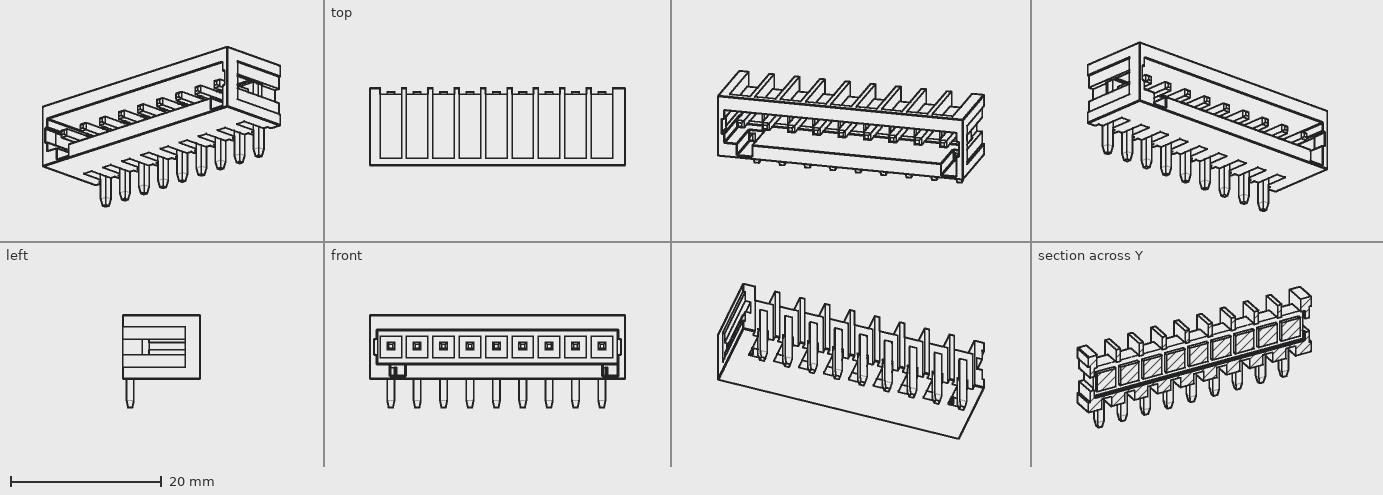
import cadquery as cq


pin_count = 9
pitch = 3.5
pin_size = 1.0
pin_height = 4.35
pin_tail_y = 9.3
pin_tip_y = 1.0
tail_length = 3.8
tail_taper = 1.0
tail_tip_size = 0.6
mating_taper = 0.3
mating_tip_size = 0.5

length = 33.9
depth = 10.3
height = 8.5
left_overhang = 2.8
edge_chamfer = 0.1
mid_height = height / 2
left_end = -left_overhang
right_end = left_end + length
pin_positions = [index * pitch for index in range(pin_count)]

cavity_depth = 7.7
cavity_height = 4.5
cavity_end_wall = 0.95
cavity_left = left_end + cavity_end_wall
cavity_right = right_end - cavity_end_wall
cavity_floor = mid_height - cavity_height / 2

seat_size = 2.85
seat_face_y = 6.8

notch_width = 2.05
notch_floor = 0.4
notch_depth = 5.8
notch_left_start = -0.1

slot_start_y = 2.0
wide_slot_depth = 0.3
wide_slot_height = 5.4
narrow_slot_depth = 1.05
narrow_slot_height = 2.0
relief_end_wall = 0.6

pocket_width = 2.85
pocket_front_y = 1.0
pocket_floor = 6.65

rear_wall_y = 9.5
tail_slot_width = 1.45
tail_slot_height = 1.5


def block(x_range, y_range, z_range):
    """Box spanning the given (low, high) pairs."""
    sizes = [high - low for low, high in (x_range, y_range, z_range)]
    corner = (x_range[0], y_range[0], z_range[0])
    return cq.Workplane("XY").box(*sizes, centered=False).translate(corner)


def centred(middle, size):
    """(low, high) pair of the given size around a middle."""
    return (middle - size / 2, middle + size / 2)


def mating_cavity():
    """Volume of the cavity with its coding notches and end reliefs, all inner edges chamfered."""
    cavity_z = (cavity_floor, cavity_floor + cavity_height)
    cavity_y = (0, cavity_depth)
    cavity = block((cavity_left, cavity_right), cavity_y, cavity_z)
    notch_starts = (notch_left_start, cavity_right - notch_width)
    for start in notch_starts:
        notch = block((start, start + notch_width), (0, notch_depth), (notch_floor, mid_height))
        cavity = cavity.union(notch)
    relief_x = (left_end + relief_end_wall, right_end - relief_end_wall)
    cavity = cavity.union(block(relief_x, cavity_y, centred(mid_height, narrow_slot_height)))
    return cavity.edges("not(<Y)").chamfer(edge_chamfer)


def end_slots():
    """Stepped locking slots on both end faces, open at the rear."""
    slot_y = (slot_start_y, depth)
    slots = cq.Workplane("XY")
    for slot_depth, slot_height in (
        (wide_slot_depth, wide_slot_height),
        (narrow_slot_depth, narrow_slot_height),
    ):
        slot_z = centred(mid_height, slot_height)
        slots = slots.add(block((left_end, left_end + slot_depth), slot_y, slot_z))
        slots = slots.add(block((right_end - slot_depth, right_end), slot_y, slot_z))
    return slots.combine()


def pin_recesses(x):
    """Top pocket, rear recess and underside slot of the pin at x."""
    pocket = block(centred(x, pocket_width), (pocket_front_y, depth), (pocket_floor, height))
    rear = block(centred(x, pocket_width), (rear_wall_y, depth), (0, height))
    tail_slot = block(centred(x, tail_slot_width), (notch_depth, depth), (0, tail_slot_height))
    return pocket.union(rear).union(tail_slot)


def tapered_tip(plane, tip_size, taper):
    """Truncated pyramid from the pin section down to a smaller square."""
    return plane.rect(pin_size, pin_size).workplane(offset=taper).rect(tip_size, tip_size).loft()


def pin(x):
    """Right-angle pin: mating leg along Y and solder tail along Z, both with tapered ends."""
    mating_base_y = pin_tip_y + mating_taper
    tail_base_z = tail_taper - tail_length
    width = centred(x, pin_size)
    leg = block(width, (mating_base_y, pin_tail_y + pin_size / 2), centred(pin_height, pin_size))
    tail = block(width, centred(pin_tail_y, pin_size), (tail_base_z, pin_height))
    mating_plane = cq.Workplane("XZ", origin=(x, mating_base_y, pin_height))
    tail_plane = cq.Workplane("XY", origin=(x, pin_tail_y, tail_base_z)).transformed(rotate=(180, 0, 0))
    mating_tip = tapered_tip(mating_plane, mating_tip_size, mating_taper)
    tail_tip = tapered_tip(tail_plane, tail_tip_size, tail_taper)
    return leg.union(tail).union(mating_tip).union(tail_tip)


def seat(x):
    """Square boss around the pin at x, standing on the back wall of the cavity."""
    return block(centred(x, seat_size), (seat_face_y, cavity_depth), centred(mid_height, seat_size))


def housing():
    """Plastic body with the cavity, locking slots and pin recesses cut out."""
    outer = block((left_end, right_end), (0, depth), (0, height)).edges().chamfer(edge_chamfer)
    body = outer.cut(mating_cavity())
    mouth_edges = body.faces("<Y").val().innerWires()[0].Edges()
    body = body.newObject(mouth_edges).chamfer(edge_chamfer)
    body = body.cut(end_slots())
    for x in pin_positions:
        body = body.cut(pin_recesses(x))
    return body


result = housing()
for pin_x in pin_positions:
    result = result.union(seat(pin_x)).union(pin(pin_x))